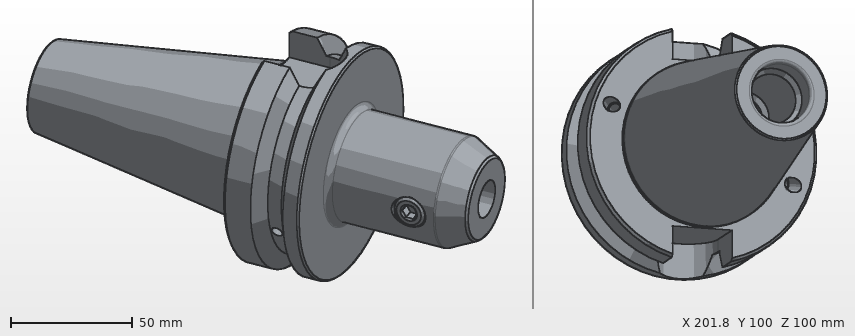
import cadquery as cq
import math


length = 201.8
taper_length = 101.7
relief_start = 103.0
relief_end = 104.1
flange_back = 104.7
groove_floor_start = 121.9
groove_floor_end = 128.1
flange_front = 139.6
nose_cone_start = 189.3

gauge_radius = 35.0
taper_ratio = 7 / 48
relief_radius = 34.3
flange_radius = 50.0
groove_radius = 42.5
nose_radius = 24.0
nose_end_radius = 17.4

groove_wall_angle = 30.0
flange_chamfer = 1.2
flange_edge_chamfer = 0.8
neck_fillet = 2.8
taper_end_chamfer = 0.6
nose_end_chamfer = 1.0
nose_cone_blend = 1.6

bore_radius = 8.0
thread_radius = 10.5
pilot_radius = 12.5
mouth_rounding = 1.6
pilot_depth = 11.0
thread_end = 48.5
drill_half_angle = 59.0

slot_half_width = 13.0
slot_floor = 35.3
slot_end = 136.5

coolant_roll = 20.0
coolant_radius = 3.0
coolant_mouth = 42.0
coolant_tilt = 35.0
coolant_entry_depth = 4.8
coolant_inner_radius = 2.5
groove_hole_radius = 2.5

screw_x = 177.5
screw_radius = 7.0
screw_mouth_radius = 7.9
screw_head = 23.8
screw_tip = 10.0
screw_chamfer = 1.5
socket_sides = 6
socket_width = 5.9
socket_mouth_radius = 3.8
socket_depth = 5.0


def drill_point(radius, tip_radius):
    """Length of a drilled cone that narrows from radius to tip_radius."""
    return (radius - tip_radius) / math.tan(math.radians(drill_half_angle))


def make_turned_blank():
    small_radius = gauge_radius - taper_length * taper_ratio
    wall_run = (flange_radius - groove_radius) * math.tan(math.radians(groove_wall_angle))
    profile = (
        cq.Workplane("XZ")
        .moveTo(0, 0)
        .lineTo(0, small_radius - taper_end_chamfer)
        .lineTo(taper_end_chamfer, small_radius + taper_end_chamfer * taper_ratio)
        .lineTo(taper_length, gauge_radius)
        .lineTo(relief_start, gauge_radius)
        .lineTo(relief_start, relief_radius)
        .lineTo(relief_end, relief_radius)
        .lineTo(relief_end, gauge_radius)
        .lineTo(flange_back, gauge_radius)
        .lineTo(flange_back, flange_radius - flange_chamfer)
        .lineTo(flange_back + flange_chamfer, flange_radius)
        .lineTo(groove_floor_start - wall_run, flange_radius)
        .lineTo(groove_floor_start, groove_radius)
        .lineTo(groove_floor_end, groove_radius)
        .lineTo(groove_floor_end + wall_run, flange_radius)
        .lineTo(flange_front - flange_edge_chamfer, flange_radius)
        .lineTo(flange_front, flange_radius - flange_edge_chamfer)
        .lineTo(flange_front, nose_radius + neck_fillet)
        .radiusArc((flange_front + neck_fillet, nose_radius), -neck_fillet)
        .lineTo(nose_cone_start, nose_radius)
        .lineTo(length - nose_end_chamfer, nose_end_radius + nose_end_chamfer)
        .lineTo(length, nose_end_radius)
        .lineTo(length, 0)
        .close()
    )
    blank = profile.revolve(360, (0, 0, 0), (1, 0, 0))
    cone_edge = cq.selectors.NearestToPointSelector((nose_cone_start, 0, 0))
    return blank.edges("%CIRCLE").edges(cone_edge).fillet(nose_cone_blend)


def make_axial_bore():
    thread_chamfer = pilot_radius - thread_radius
    profile = (
        cq.Workplane("XZ")
        .moveTo(0, 0)
        .lineTo(0, pilot_radius + mouth_rounding)
        .radiusArc((mouth_rounding, pilot_radius), -mouth_rounding)
        .lineTo(pilot_depth, pilot_radius)
        .lineTo(pilot_depth + thread_chamfer, thread_radius)
        .lineTo(thread_end, thread_radius)
        .lineTo(thread_end + drill_point(thread_radius, bore_radius), bore_radius)
        .lineTo(length, bore_radius)
        .lineTo(length, 0)
        .close()
    )
    return profile.revolve(360, (0, 0, 0), (1, 0, 0))


def make_drive_slot(side):
    """Round-ended slot across the flange, above (side 1) or below (side -1) the axis."""
    arc_center = slot_end - slot_half_width
    return (
        cq.Workplane("XY", origin=(0, 0, side * slot_floor))
        .moveTo(relief_end, -slot_half_width)
        .lineTo(arc_center, -slot_half_width)
        .threePointArc((slot_end, 0), (arc_center, slot_half_width))
        .lineTo(relief_end, slot_half_width)
        .close()
        .extrude(side * flange_radius)
    )


def make_coolant_hole():
    """Oblique hole from the flange's back face into the axial bore, in the XY plane."""
    tilt = math.radians(coolant_tilt)
    direction = cq.Vector(math.cos(tilt), -math.sin(tilt), 0)
    mouth = cq.Vector(flange_back, coolant_mouth, 0)
    lead = 2 * coolant_radius
    start = mouth - direction * lead
    hole_length = coolant_mouth / math.sin(tilt)
    entry = cq.Solid.makeCylinder(coolant_radius, lead + coolant_entry_depth, start, direction)
    inner = cq.Solid.makeCylinder(coolant_inner_radius, hole_length, mouth, direction)
    hole = entry.fuse(inner)
    beyond_face = (
        cq.Workplane("XY", origin=(flange_back, 0, 0))
        .box(length, length, length, centered=(False, True, True))
    )
    return cq.Workplane(hole).intersect(beyond_face)


def make_groove_hole():
    """Radial hole from the groove floor down to the coolant hole, in the XY plane."""
    groove_middle = (groove_floor_start + groove_floor_end) / 2
    drop = (groove_middle - flange_back) * math.tan(math.radians(coolant_tilt))
    bottom = coolant_mouth - drop
    return (
        cq.Workplane("XZ", origin=(groove_middle, bottom, 0))
        .circle(groove_hole_radius)
        .extrude(bottom - groove_radius - groove_hole_radius)
    )


def make_screw_hole():
    """Cross hole through both walls of the nose, countersunk on the screw side."""
    cross_hole = (
        cq.Workplane("XZ", origin=(screw_x, nose_radius, 0))
        .circle(screw_radius)
        .extrude(2 * nose_radius)
    )
    countersink = cq.Solid.makeCone(
        screw_mouth_radius, 0, screw_mouth_radius,
        cq.Vector(screw_x, -nose_radius, 0), cq.Vector(0, 1, 0),
    )
    return cross_hole.union(cq.Workplane(countersink))


def make_holder():
    holder = make_turned_blank().cut(make_axial_bore())
    for side in (1, -1):
        holder = holder.cut(make_drive_slot(side))
    for half_turn in (0, 180):
        for cutter in (make_coolant_hole(), make_groove_hole()):
            turned = cutter.rotate((0, 0, 0), (1, 0, 0), coolant_roll + half_turn)
            holder = holder.cut(turned)
    return holder.cut(make_screw_hole())


def make_set_screw():
    screw = (
        cq.Workplane("XZ", origin=(screw_x, -screw_tip, 0))
        .circle(screw_radius)
        .extrude(screw_head - screw_tip)
        .faces("<Y")
        .chamfer(screw_chamfer)
    )
    corner_width = socket_width / math.cos(math.pi / socket_sides)
    socket = (
        cq.Workplane("XZ", origin=(screw_x, -screw_head, 0))
        .polygon(socket_sides, corner_width)
        .extrude(-socket_depth)
    )
    socket_mouth = cq.Solid.makeCone(
        socket_mouth_radius, 0, socket_mouth_radius,
        cq.Vector(screw_x, -screw_head, 0), cq.Vector(0, 1, 0),
    )
    return screw.cut(socket).cut(cq.Workplane(socket_mouth))


holder = make_holder()
set_screw = make_set_screw()
result = cq.Compound.makeCompound([holder.val(), set_screw.val()])